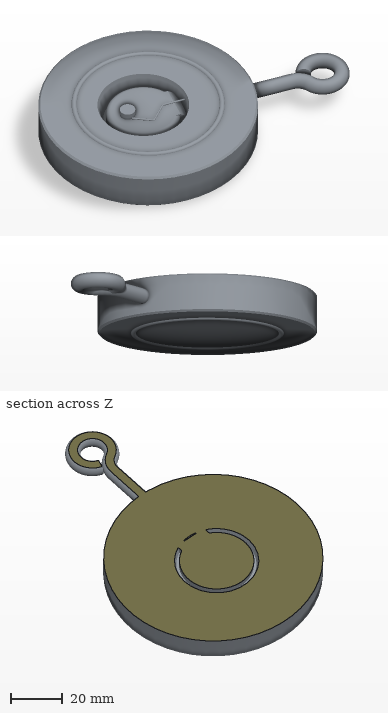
import cadquery as cq
import math

body_radius = 42.5
body_thickness = 15.0
body_chamfer = 0.7
overall_thickness = 16.4
ring_radius = 28.6
ring_section_radius = 1.1

pocket_y = -2.0
pocket_rim_radius = 17.7
pocket_floor_radius = 15.5
pocket_floor_z = 0.0

flap_radius = 14.5
flap_top_z = 4.6
flap_rounding = 1.9
tab_width = 14.1
tab_flat_end_y = 10.7
tab_slope_angle = 36.0

stud_diameter = 6.0
stud_y = -8.5
stud_height = 2.6
wire_diameter = 0.7
wire_lift = 0.2
wire_points = [(0, 15.2), (0, 6.0), (7.0, -0.2), (3.0, -7.7)]

bar_diameter = 6.0
eye_bend_radius = 7.5
eye_tip_y = 82.5
neck_angle = 60.0
eye_end_angle = 254.0
shank_embed = 2.5

face_z = body_thickness / 2
ring_z = overall_thickness / 2 - ring_section_radius
wire_z = flap_top_z + wire_lift


def make_body():
    return (
        cq.Workplane("XY", origin=(0, 0, -face_z))
        .circle(body_radius)
        .extrude(body_thickness)
        .faces("|Z")
        .chamfer(body_chamfer)
    )


def make_seal_ring(centre_z):
    return (
        cq.Workplane("XZ")
        .center(ring_radius, centre_z)
        .circle(ring_section_radius)
        .revolve(360, (-ring_radius, 0), (-ring_radius, 1))
    )


def make_pocket():
    return (
        cq.Workplane("XY", origin=(0, pocket_y, pocket_floor_z))
        .circle(pocket_floor_radius)
        .workplane(offset=face_z - pocket_floor_z)
        .circle(pocket_rim_radius)
        .loft()
    )


def make_flap(pocket):
    plate = (
        cq.Workplane("XY", origin=(0, pocket_y, pocket_floor_z))
        .circle(flap_radius)
        .extrude(flap_top_z - pocket_floor_z)
        .faces(">Z")
        .edges()
        .fillet(flap_rounding)
    )
    tab_end_y = pocket_y + pocket_rim_radius
    tab = (
        cq.Workplane("XY", origin=(0, tab_end_y / 2, pocket_floor_z))
        .rect(tab_width, tab_end_y)
        .extrude(flap_top_z - pocket_floor_z)
    )
    slope_drop = (tab_end_y - tab_flat_end_y) * math.tan(math.radians(tab_slope_angle))
    wedge = (
        cq.Workplane("YZ")
        .moveTo(tab_flat_end_y, flap_top_z)
        .lineTo(tab_end_y, flap_top_z)
        .lineTo(tab_end_y, flap_top_z - slope_drop)
        .close()
        .extrude(tab_width / 2, both=True)
    )
    return plate.union(tab).cut(wedge).intersect(pocket)


def make_stud():
    return (
        cq.Workplane("XY", origin=(0, stud_y, flap_top_z))
        .circle(stud_diameter / 2)
        .extrude(stud_height)
    )


def make_wire():
    path = cq.Workplane("XY", origin=(0, 0, wire_z)).polyline(wire_points)
    return (
        cq.Workplane("XZ", origin=(*wire_points[0], wire_z))
        .circle(wire_diameter / 2)
        .sweep(path, transition="round")
    )


def make_eye():
    eye_y = eye_tip_y - bar_diameter / 2 - eye_bend_radius
    neck_y = eye_y - 2 * eye_bend_radius * math.sin(math.radians(neck_angle))

    def on_eye(degrees):
        angle = math.radians(degrees)
        return (eye_bend_radius * math.cos(angle), eye_y + eye_bend_radius * math.sin(angle))

    def on_neck(degrees):
        angle = math.radians(degrees)
        return (
            eye_bend_radius * (1 - math.cos(angle)),
            neck_y + eye_bend_radius * math.sin(angle),
        )

    shank_start_y = body_radius - shank_embed

    def sweep_bar(path, start, tangent):
        section = cq.Plane(origin=(*start, 0), xDir=(0, 0, 1), normal=(*tangent, 0))
        return cq.Workplane(section).circle(bar_diameter / 2).sweep(path)

    shank = (
        cq.Workplane("XZ", origin=(0, shank_start_y, 0))
        .circle(bar_diameter / 2)
        .extrude(shank_start_y - neck_y)
    )
    neck_path = (
        cq.Workplane("XY")
        .moveTo(0, neck_y)
        .threePointArc(on_neck(neck_angle / 2), on_neck(neck_angle))
    )
    eye_path = (
        cq.Workplane("XY")
        .moveTo(*on_eye(-neck_angle))
        .threePointArc(on_eye((eye_end_angle - neck_angle) / 2), on_eye(eye_end_angle))
    )
    joint_tangent = (math.sin(math.radians(neck_angle)), math.cos(math.radians(neck_angle)))
    neck = sweep_bar(neck_path, (0, neck_y), (0, 1))
    ring = sweep_bar(eye_path, on_eye(-neck_angle), joint_tangent)
    return shank.union(neck).union(ring)


pocket = make_pocket()
result = (
    make_body()
    .union(make_seal_ring(ring_z))
    .union(make_seal_ring(-ring_z))
    .cut(pocket)
    .union(make_flap(pocket))
    .union(make_stud())
    .union(make_wire())
    .union(make_eye())
)